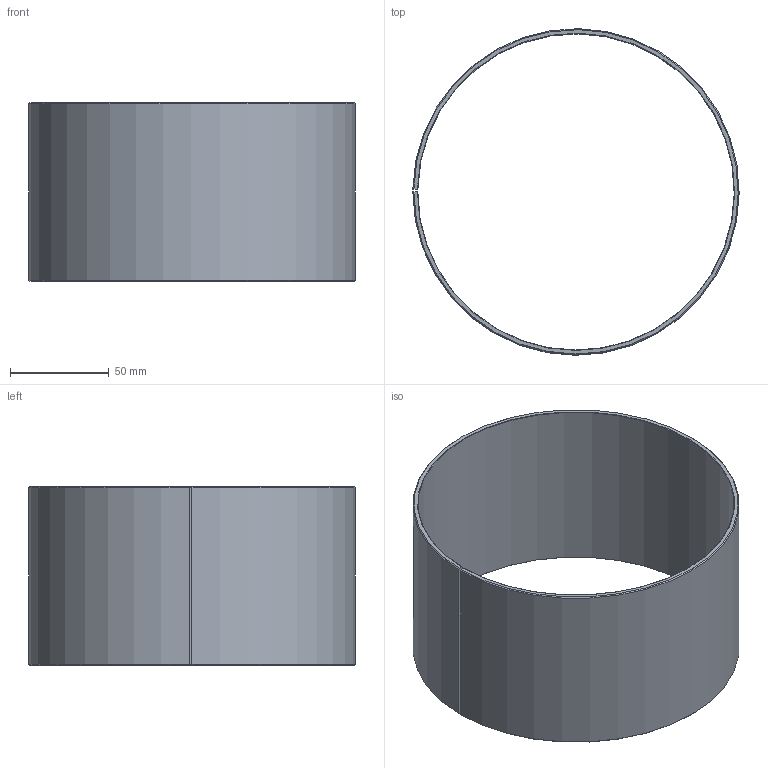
import cadquery as cq

outer_diameter = 165.0
wall_thickness = 2.5
sleeve_height = 90.0
outer_chamfer = 0.5
inner_chamfer = 0.2
slit_angle = 1.0

outer_radius = outer_diameter / 2
inner_radius = outer_radius - wall_thickness

rim_outer_radius = outer_radius - outer_chamfer
rim_inner_radius = inner_radius + inner_chamfer


def make_wall_section():
    """Wall section on the -X side, with both edges chamfered at the bottom and top rims."""
    return (
        cq.Workplane("XZ")
        .moveTo(-rim_inner_radius, 0)
        .lineTo(-rim_outer_radius, 0)
        .lineTo(-outer_radius, outer_chamfer)
        .lineTo(-outer_radius, sleeve_height - outer_chamfer)
        .lineTo(-rim_outer_radius, sleeve_height)
        .lineTo(-rim_inner_radius, sleeve_height)
        .lineTo(-inner_radius, sleeve_height - inner_chamfer)
        .lineTo(-inner_radius, inner_chamfer)
        .close()
    )


def make_split_sleeve():
    """Sweep the section about Z, stopping short of a full turn.

    The missing angle leaves a narrow full-height slit on the +Y side of the XZ plane.
    """
    axis_start = (0, 0, 0)
    axis_end = (0, 1, 0)
    return make_wall_section().revolve(360 - slit_angle, axis_start, axis_end)


result = make_split_sleeve()